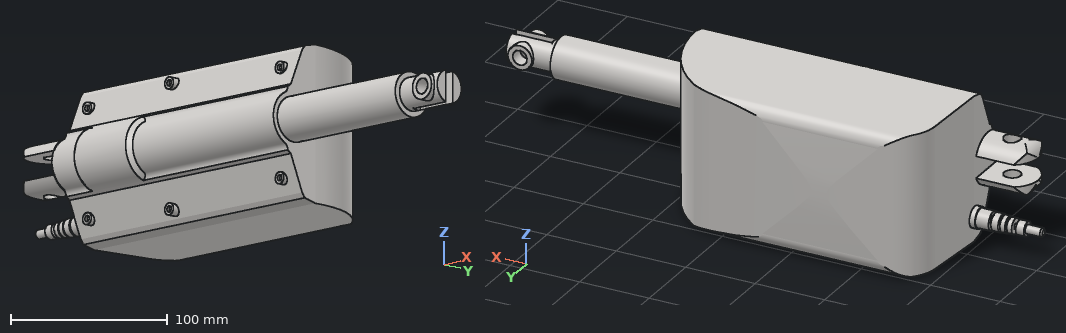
import cadquery as cq
import math


overall_length = 391

housing_length = 200.5
housing_height = 103.5
half_height = housing_height / 2
half_height_back = 50.5
side_edge_y = 19.0
back_y = 94.5
nose_radius = 81.0
nose_angle = 54

tube_radius = 18.5
land_y = -5.5
land_z = 20.7
collar_radius = 21.5
collar_start = 20.5
collar_length = 52.8
collar_chamfer = collar_radius - tube_radius

fork_radius = 18.0
fork_slot = 15.5
fork_hole_x = -17.5
fork_hole_radius = 6.0
fork_end_radius = 18.8
fork_root = 8.0
fork_tip_x = fork_hole_x - fork_end_radius

screw_radius = 4.0
screw_head_y = 0.5
screw_length = 9.8
socket_radius = 2.0
socket_depth = 2.0
end_screw_z = 36.0
middle_screw_z = 41.0
screw_places = [(13.0, end_screw_z), (87.2, middle_screw_z), (187.3, end_screw_z)]

gland_y = 18.0
gland_z = -34.5
cable_radius = 3.0
cable_tip_x = -49.5
cable_chamfer = 1.0
groove_radius = 4.0
gland_steps = [
    (-4.0, 7.5),
    (-13.3, 6.5),
    (-15.0, groove_radius),
    (-20.0, 6.3),
    (-21.0, groove_radius),
    (-24.5, 6.0),
    (-26.0, groove_radius),
    (-29.5, 5.5),
    (-32.0, 2.0),
    (-38.0, 5.0),
    (cable_tip_x, cable_radius),
]

rod_radius = 15.0
rod_end_x = 307.5
rod_tip_x = overall_length + cable_tip_x
neck_radius = 11.0
rod_slot = 6.3
rod_slot_start = 312.0
eye_x = 330.0
eye_radius = 8.5
eye_length = 26.5
eye_hole_radius = 5.0


def cylinder_x(start, end, radius, y=0, z=0):
    return cq.Workplane("YZ", origin=(start, y, z)).circle(radius).extrude(end - start)


def half_section_blend():
    """Fillet tangent to the tube and to the flat land: its end on the tube and its middle."""
    depth = -land_y
    radius = (land_z**2 + depth**2 - tube_radius**2) / (2 * (tube_radius - depth))
    center_y = land_y - radius
    start = (
        center_y * tube_radius / (tube_radius + radius),
        land_z * tube_radius / (tube_radius + radius),
    )
    start_angle = math.atan2(start[1] - land_z, start[0] - center_y)
    middle_angle = start_angle / 2
    middle = (
        center_y + radius * math.cos(middle_angle),
        land_z + radius * math.sin(middle_angle),
    )
    return start, middle


def mirrored(point):
    """Mirror a (Y, Z) point across Z = 0."""
    return (point[0], -point[1])


def housing_section():
    """Cross-section of the housing, swept along X: sides, rounded back and tube."""
    tube_end, blend_middle = half_section_blend()
    land_end = (land_y, land_z)
    slope_start = (-2.7, 22.5)
    slope_end = (7.5, 46.5)
    shoulder = (9.8, 49.5)
    side_start = (side_edge_y, half_height)
    side_end = (83.3, half_height_back)
    corner_middle = (90.5, 47.5)
    corner_end = (93.0, 40.0)
    return (
        cq.Workplane("YZ")
        .moveTo(*mirrored(tube_end))
        .threePointArc((-tube_radius, 0), tube_end)
        .threePointArc(blend_middle, land_end)
        .lineTo(*slope_start)
        .lineTo(*slope_end)
        .lineTo(*shoulder)
        .lineTo(*side_start)
        .lineTo(*side_end)
        .threePointArc(corner_middle, corner_end)
        .threePointArc((back_y, 0), mirrored(corner_end))
        .threePointArc(mirrored(corner_middle), mirrored(side_end))
        .lineTo(*mirrored(side_start))
        .lineTo(*mirrored(shoulder))
        .lineTo(*mirrored(slope_end))
        .lineTo(*mirrored(slope_start))
        .lineTo(*mirrored(land_end))
        .threePointArc(mirrored(blend_middle), mirrored(tube_end))
        .close()
        .extrude(housing_length)
    )


def housing_outline():
    """Side outline of the housing with its domed back, swept along Z."""
    nose_center_x = housing_length - nose_radius

    def nose_point(degrees):
        angle = math.radians(degrees)
        return (
            nose_center_x + nose_radius * math.cos(angle),
            side_edge_y + nose_radius * math.sin(angle),
        )

    rear_top = (2.7, 67.0)
    rear_round_middle = (8.5, 82.5)
    crest_start = (25.5, 92.5)
    crest = (66.5, back_y)
    crest_end = (154.5, 88.5)
    return (
        cq.Workplane("XY")
        .moveTo(0, -tube_radius)
        .lineTo(0, side_edge_y)
        .lineTo(*rear_top)
        .threePointArc(rear_round_middle, crest_start)
        .threePointArc(crest, crest_end)
        .tangentArcPoint(nose_point(nose_angle), relative=False)
        .threePointArc(nose_point(nose_angle / 2), nose_point(0))
        .lineTo(housing_length, -tube_radius)
        .close()
        .extrude(half_height, both=True)
    )


def collar():
    """Raised band around the tube, chamfered down to the tube at both ends."""
    return (
        cylinder_x(collar_start, collar_start + collar_length, collar_radius)
        .edges()
        .chamfer(collar_chamfer)
    )


def rear_fork():
    """Slotted round bar whose end is rounded in both directions."""
    bar = cylinder_x(fork_tip_x, fork_root, fork_radius)
    plan = (
        cq.Workplane("XY")
        .moveTo(fork_root, -fork_end_radius)
        .lineTo(fork_hole_x, -fork_end_radius)
        .threePointArc((fork_tip_x, 0), (fork_hole_x, fork_end_radius))
        .lineTo(fork_root, fork_end_radius)
        .close()
        .extrude(fork_radius, both=True)
    )
    arm_round = fork_radius - fork_slot / 2
    profile = (
        cq.Workplane("XY")
        .box(fork_root - fork_tip_x, 2 * fork_radius, 2 * fork_radius, centered=(False, True, True))
        .translate((fork_tip_x, 0, 0))
        .edges("<X and |Y")
        .fillet(arm_round)
    )
    slot = (
        cq.Workplane("XY")
        .box(-fork_tip_x, 2 * fork_radius, fork_slot, centered=(False, True, True))
        .translate((fork_tip_x, 0, 0))
    )
    hole = cq.Workplane("XY").center(fork_hole_x, 0).circle(fork_hole_radius).extrude(fork_radius, both=True)
    return bar.intersect(plan).intersect(profile).cut(slot).cut(hole)


def screw(x, z):
    """Socket-head screw facing -Y."""
    head = cq.Workplane("XZ", origin=(x, screw_head_y, z))
    socket = head.circle(socket_radius).extrude(-socket_depth)
    return head.circle(screw_radius).extrude(-screw_length).cut(socket)


def cable_gland():
    """Grooved strain relief on the rear face, ending in the stub of the cable."""
    gland = cq.Workplane("YZ")
    start = 0
    for end, radius in gland_steps:
        gland = gland.union(cylinder_x(start, end, radius, gland_y, gland_z))
        start = end
    return gland.faces("<X").chamfer(cable_chamfer)


def make_housing():
    body = housing_section().intersect(housing_outline())
    body = body.union(collar()).union(rear_fork()).union(cable_gland())
    for x, z in screw_places:
        for side in (1, -1):
            body = body.union(screw(x, side * z))
    return body


def make_push_rod():
    """Rod butting on the housing end, with a slotted neck and a cross eye."""
    rod = cylinder_x(housing_length, rod_end_x, rod_radius)
    neck = cylinder_x(rod_end_x, rod_tip_x, neck_radius)
    eye = cq.Workplane("XZ").center(eye_x, 0).circle(eye_radius).extrude(eye_length / 2, both=True)
    hole = cq.Workplane("XZ").center(eye_x, 0).circle(eye_hole_radius).extrude(eye_length / 2, both=True)
    slot = (
        cq.Workplane("XY")
        .box(rod_tip_x - rod_slot_start, rod_slot, 2 * neck_radius, centered=(False, True, True))
        .translate((rod_slot_start, 0, 0))
    )
    return rod.union(neck).union(eye).cut(slot).cut(hole)


housing = make_housing()
push_rod = make_push_rod()
result = cq.Compound.makeCompound([housing.val(), push_rod.val()])